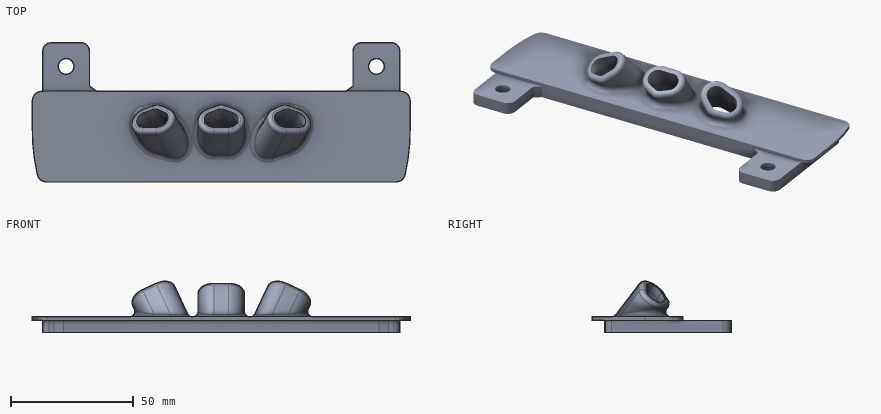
import cadquery as cq
import math

PLATE_LENGTH = 154.0
PLATE_WIDTH = 37.0
PLATE_THICKNESS = 1.5
PLATE_CORNER_RADIUS = 4.0
SIDE_CURVE_START = 21.5
SIDE_CURVE_INSET = 2.8

TOTAL_WIDTH = 56.8
BASE_LENGTH = 145.5
BASE_HEIGHT = 5.0
BASE_FRONT_SETBACK = 5.0
BASE_CORNER_RADIUS = 2.5
FRONT_STEP_DEPTH = 0.5
FRONT_STEP_START = 4.6
FRONT_STEP_END = 8.4
TAB_WIDTH = 19.1
TAB_CORNER_RADIUS = 3.5
TAB_HOLE_DIAMETER = 6.3
TAB_HOLE_FROM_END = 9.7
GUSSET_WIDTH = 2.9
GUSSET_DEPTH = 2.1

NOZZLE_TILT_BACK = 34.5
NOZZLE_SPLAY = 25.0
NOZZLE_FLAT_WIDTH = 6.05
BORE_SIDE_RADIUS = 3.58
BORE_TIP_RADIUS = 2.35
BORE_TIP_SLOPE = 24.0
NOZZLE_WALL = 2.6
NOZZLE_LENGTH = 12.82
NOZZLE_CENTER_Y = 18.2
NOZZLE_SPACING = 23.6
WAIST_DEPTH = 3.2
UPPER_BORE_TAPER = 5.0
LOWER_BORE_TAPER = 2.0
MOUTH_GROWTH = WAIST_DEPTH * math.tan(math.radians(UPPER_BORE_TAPER))
RIM_FILLET = 1.68
FOOT_FILLET = 2.0
NOZZLE_SINK = 16.0
NOZZLE_REGION = 32.0
FLATNESS = 0.01

PLATE_TOP = BASE_HEIGHT + PLATE_THICKNESS


def make_plate():
    """Thin cover plate whose ends curve inward toward the front."""
    half = PLATE_LENGTH / 2
    curve_radius = (SIDE_CURVE_START**2 + SIDE_CURVE_INSET**2) / (2 * SIDE_CURVE_INSET)
    mid_y = SIDE_CURVE_START / 2
    mid_inset = curve_radius - math.sqrt(curve_radius**2 - mid_y**2)
    front_x = half - SIDE_CURVE_INSET
    return (
        cq.Workplane("XY", origin=(0, 0, BASE_HEIGHT))
        .moveTo(-front_x, 0)
        .lineTo(front_x, 0)
        .threePointArc((half - mid_inset, mid_y), (half, SIDE_CURVE_START))
        .lineTo(half, PLATE_WIDTH)
        .lineTo(-half, PLATE_WIDTH)
        .lineTo(-half, SIDE_CURVE_START)
        .threePointArc((mid_inset - half, mid_y), (-front_x, 0))
        .close()
        .extrude(PLATE_THICKNESS)
        .edges("|Z and (<Y or >Y)")
        .fillet(PLATE_CORNER_RADIUS)
    )


def make_base():
    """Block under the plate with set-back front corners and two drilled rear tabs."""
    half = BASE_LENGTH / 2
    front = BASE_FRONT_SETBACK
    tab_inner = half - TAB_WIDTH
    right_side = [
        (half - FRONT_STEP_END, front),
        (half - FRONT_STEP_START, front + FRONT_STEP_DEPTH),
        (half, front + FRONT_STEP_DEPTH),
        (half, TOTAL_WIDTH),
        (tab_inner, TOTAL_WIDTH),
        (tab_inner, PLATE_WIDTH + GUSSET_DEPTH),
        (tab_inner - GUSSET_WIDTH, PLATE_WIDTH),
    ]
    left_side = [(-x, y) for x, y in reversed(right_side)]
    base = cq.Workplane("XY").polyline(right_side + left_side).close().extrude(BASE_HEIGHT)
    base = base.edges("|Z and >Y").fillet(TAB_CORNER_RADIUS)
    base = base.edges("|Z and (<X or >X)").edges("<Y").fillet(BASE_CORNER_RADIUS)
    hole_x = half - TAB_WIDTH / 2
    hole_y = TOTAL_WIDTH - TAB_HOLE_FROM_END
    holes = (
        cq.Workplane("XY")
        .pushPoints([(-hole_x, hole_y), (hole_x, hole_y)])
        .circle(TAB_HOLE_DIAMETER / 2)
        .extrude(BASE_HEIGHT)
    )
    return base.cut(holes)


def nozzle_outline(height, growth):
    """Bore outline at its waist grown outward by `growth`, at a height along the nozzle axis."""
    slope = math.radians(BORE_TIP_SLOPE)
    half_flat = NOZZLE_FLAT_WIDTH / 2
    side = BORE_SIDE_RADIUS + growth
    tip = BORE_TIP_RADIUS + growth
    tip_center_y = half_flat * math.tan(slope) + (BORE_SIDE_RADIUS - BORE_TIP_RADIUS) / math.cos(slope)
    touch_x = half_flat + side * math.sin(slope)
    touch_y = side * math.cos(slope)
    bulge_x = half_flat + side * math.cos(slope / 2)
    bulge_y = -side * math.sin(slope / 2)
    tip_x = tip * math.sin(slope)
    tip_y = tip_center_y + tip * math.cos(slope)
    return (
        cq.Workplane("XY", origin=(0, 0, height))
        .moveTo(-half_flat, -side)
        .lineTo(half_flat, -side)
        .threePointArc((bulge_x, bulge_y), (touch_x, touch_y))
        .lineTo(tip_x, tip_y)
        .threePointArc((0, tip_center_y + tip), (-tip_x, tip_y))
        .lineTo(-touch_x, touch_y)
        .threePointArc((-bulge_x, bulge_y), (-half_flat, -side))
        .close()
        .wire()
        .val()
    )


def make_nozzle():
    """Outer body along Z, reaching below the plate so that it can be trimmed flush."""
    root = nozzle_outline(-NOZZLE_SINK, MOUTH_GROWTH + NOZZLE_WALL)
    body = cq.Solid.extrudeLinear(root, [], cq.Vector(0, 0, NOZZLE_LENGTH + NOZZLE_SINK))
    return cq.Workplane(body).faces(">Z").edges().fillet(RIM_FILLET)


def make_bore():
    """Bore along Z that narrows from the mouth to a waist and then widens to below the base."""
    waist_height = NOZZLE_LENGTH - WAIST_DEPTH
    waist = nozzle_outline(waist_height, 0)
    to_mouth = cq.Vector(0, 0, WAIST_DEPTH)
    to_bottom = cq.Vector(0, 0, -waist_height - NOZZLE_SINK)
    upper = cq.Solid.extrudeLinear(waist, [], to_mouth, -UPPER_BORE_TAPER)
    lower = cq.Solid.extrudeLinear(waist, [], to_bottom, -LOWER_BORE_TAPER)
    return cq.Workplane(upper).union(cq.Workplane(lower))


def place(body, x, splay):
    """Lean a body made along Z backward and sideways, and stand it on the plate."""
    return (
        body.rotate((0, 0, 0), (1, 0, 0), -NOZZLE_TILT_BACK)
        .rotate((0, 0, 0), (0, 1, 0), splay)
        .translate((x, NOZZLE_CENTER_Y, PLATE_TOP))
    )


def add_nozzle(part, x, splay):
    """Join a solid nozzle, trimmed at the plate underside, and round its foot."""
    y = NOZZLE_CENTER_Y
    region = cq.Workplane("XY", origin=(x, y, BASE_HEIGHT)).rect(NOZZLE_REGION, NOZZLE_REGION)
    nozzle = place(make_nozzle(), x, splay).intersect(region.extrude(NOZZLE_REGION))
    reach = NOZZLE_REGION / 2
    foot_zone = cq.selectors.BoxSelector(
        (x - reach, y - reach, PLATE_TOP - FLATNESS),
        (x + reach, y + reach, PLATE_TOP + FLATNESS),
        boundingbox=True,
    )
    return part.union(nozzle).edges(foot_zone).fillet(FOOT_FILLET)


nozzle_places = [(side * NOZZLE_SPACING, side * NOZZLE_SPLAY) for side in (-1, 0, 1)]
result = make_plate().union(make_base())
for x, splay in nozzle_places:
    result = add_nozzle(result, x, splay)
for x, splay in nozzle_places:
    result = result.cut(place(make_bore(), x, splay))